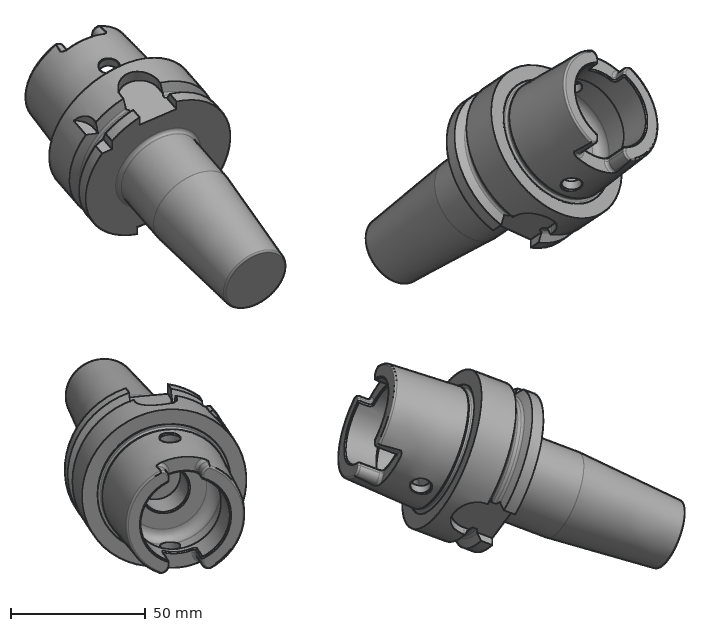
import cadquery as cq
import math


total_length = 127.0
taper_end = 30.0
flange_front = 31.8
flange_back = 57.8
nose_taper_start = 82.3

taper_tip_radius = 22.7
taper_base_radius = 24.3
neck_radius = 23.7
neck_chamfer = 0.6
rim_fillet = 0.8
undercut_radius = 25.5
undercut_depth = 0.5
undercut_fillet = 0.8

flange_radius = 31.5
groove_radius = 27.5
groove_mouth_front = 46.2
groove_mouth_back = 53.1
groove_floor_front = 48.3
groove_floor_back = 51.0
groove_fillet = 1.1

nose_radius = 17.0
nose_taper_angle = 4.5
nose_root_fillet = 1.5
nose_tip_fillet = 0.8

bore_radius = 17.0
bore_chamfer = 0.5
bore_lip_end = 13.2
recess_radius = 20.0
recess_taper_length = 1.8
bore_depth = 29.7
recess_floor_fillet = recess_radius - 15.6
coolant_hole_radius = 8.9
coolant_hole_chamfer = 0.5
coolant_hole_depth = 12.7

drive_half_width = 6.2
drive_flare_radius = 3.0
drive_flare_top = 20.7
drive_floor_fillet = 1.3
drive_depth_upper = 5.7
drive_depth_lower = 10.0

cross_hole_x = 22.9
cross_hole_radius = 3.8
cross_hole_chamfer = 0.5

slot_end = 36.7
slot_floor = 26.5
upper_slot_half_width = 8.0
lower_slot_half_width = 9.0
notch_corner = 20.0
notch_radius = 8.0

clear = 12.7


def body():
    nose_taper_length = total_length - nose_taper_start
    nose_tip_radius = nose_radius - nose_taper_length * math.tan(math.radians(nose_taper_angle))
    outline = [
        (0, 0),
        (0, taper_tip_radius),
        (taper_end, taper_base_radius),
        (taper_end + neck_chamfer, neck_radius),
        (flange_front + undercut_depth, neck_radius),
        (flange_front + undercut_depth, undercut_radius),
        (flange_front, undercut_radius),
        (flange_front, flange_radius),
        (groove_mouth_front, flange_radius),
        (groove_floor_front, groove_radius),
        (groove_floor_back, groove_radius),
        (groove_mouth_back, flange_radius),
        (flange_back, flange_radius),
        (flange_back, nose_radius),
        (nose_taper_start, nose_radius),
        (total_length, nose_tip_radius),
        (total_length, 0),
    ]
    solid = cq.Workplane("XY").polyline(outline).close().revolve(360, (0, 0, 0), (1, 0, 0))

    def circle_edges(x, radius):
        tol = 0.1
        return cq.selectors.BoxSelector(
            (x - tol, -radius - tol, -radius - tol),
            (x + tol, radius + tol, radius + tol),
            boundingbox=True,
        )

    solid = solid.edges(circle_edges(flange_front + undercut_depth, neck_radius)).fillet(undercut_fillet)
    solid = solid.edges(circle_edges(groove_floor_front, groove_radius)).fillet(groove_fillet)
    solid = solid.edges(circle_edges(groove_floor_back, groove_radius)).fillet(groove_fillet)
    solid = solid.edges(circle_edges(flange_back, nose_radius)).fillet(nose_root_fillet)
    return solid.faces(">X").edges().fillet(nose_tip_fillet)


def bore():
    """Stepped bore: lip, wider recess with a rounded floor, then the blind coolant hole."""
    hole_end = bore_depth + coolant_hole_depth
    mouth_radius = coolant_hole_radius + coolant_hole_chamfer
    fillet_start = bore_depth - recess_floor_fillet
    fillet_middle = recess_floor_fillet * math.sqrt(0.5)
    return (
        cq.Workplane("XY")
        .moveTo(0, 0)
        .lineTo(0, bore_radius)
        .lineTo(bore_lip_end, bore_radius)
        .lineTo(bore_lip_end + recess_taper_length, recess_radius)
        .lineTo(fillet_start, recess_radius)
        .threePointArc(
            (fillet_start + fillet_middle, recess_radius - recess_floor_fillet + fillet_middle),
            (bore_depth, recess_radius - recess_floor_fillet),
        )
        .lineTo(bore_depth, mouth_radius)
        .lineTo(bore_depth + coolant_hole_chamfer, coolant_hole_radius)
        .lineTo(hole_end, coolant_hole_radius)
        .lineTo(hole_end, 0)
        .close()
        .revolve(360, (0, 0, 0), (1, 0, 0))
    )


def drive_slot(depth):
    """Slot with straight walls that flare outward in a quarter round, cut into the rim at +Z."""
    flare_start = drive_flare_top - drive_flare_radius
    flare_edge = drive_half_width + drive_flare_radius
    flare_middle = drive_flare_radius * (1 - math.sqrt(0.5))
    outer_half_width = flare_edge + clear
    top = taper_base_radius + clear
    return (
        cq.Workplane("YZ", origin=(-clear, 0, 0))
        .moveTo(-drive_half_width, 0)
        .lineTo(drive_half_width, 0)
        .lineTo(drive_half_width, flare_start)
        .threePointArc(
            (drive_half_width + flare_middle, drive_flare_top - flare_middle),
            (flare_edge, drive_flare_top),
        )
        .lineTo(outer_half_width, drive_flare_top)
        .lineTo(outer_half_width, top)
        .lineTo(-outer_half_width, top)
        .lineTo(-outer_half_width, drive_flare_top)
        .lineTo(-flare_edge, drive_flare_top)
        .threePointArc(
            (-drive_half_width - flare_middle, drive_flare_top - flare_middle),
            (-drive_half_width, flare_start),
        )
        .close()
        .extrude(depth + clear)
        .faces(">X")
        .edges("not(<Z or >Z or <Y or >Y)")
        .fillet(drive_floor_fillet)
    )


def round_ended_slot(half_width, floor, center_y):
    """Slot with a round front end, open toward +X and +Z."""
    length = flange_back + clear - slot_end
    center = slot_end + half_width
    height = flange_radius + clear - floor
    plane = cq.Workplane("XY", origin=(center, center_y, floor))
    straight = plane.rect(length - half_width, 2 * half_width, centered=(False, True)).extrude(height)
    return straight.union(plane.circle(half_width).extrude(height))


def below(cutter):
    """The same cutter turned half a turn about X."""
    return cutter.rotate((0, 0, 0), (1, 0, 0), 180)


def rim_edges(holder, on_bore):
    """Edges of the taper's end face: those along the bore, or all the others."""

    def follows_bore(edge):
        return edge.geomType() == "CIRCLE" and math.isclose(edge.radius(), bore_radius, abs_tol=0.01)

    return [edge for edge in holder.faces("<X").edges().vals() if follows_bore(edge) == on_bore]


def cross_hole():
    """Hole through both taper walls, chamfered where it leaves the cone."""
    slope = (taper_base_radius - taper_tip_radius) / taper_end
    surface = taper_tip_radius + slope * cross_hole_x
    rim = cross_hole_radius + cross_hole_chamfer
    upper = (
        cq.Workplane("XZ")
        .polyline([
            (0, 0),
            (cross_hole_radius, 0),
            (cross_hole_radius, surface - cross_hole_chamfer),
            (rim, surface),
            (rim, surface + clear),
            (0, surface + clear),
        ])
        .close()
        .revolve(360, (0, 0, 0), (0, 1, 0))
        .translate((cross_hole_x, 0, 0))
    )
    return upper.union(below(upper))


result = body().cut(bore())
result = result.cut(drive_slot(drive_depth_upper))
result = result.cut(below(drive_slot(drive_depth_lower)))
result = result.newObject(rim_edges(result, on_bore=False)).fillet(rim_fillet)
result = result.newObject(rim_edges(result, on_bore=True)).chamfer(bore_chamfer)
result = result.cut(cross_hole())

result = result.cut(round_ended_slot(upper_slot_half_width, slot_floor, 0))
result = result.cut(below(round_ended_slot(lower_slot_half_width, slot_floor, 0)))
result = result.cut(round_ended_slot(notch_radius, notch_corner, -notch_corner - notch_radius))